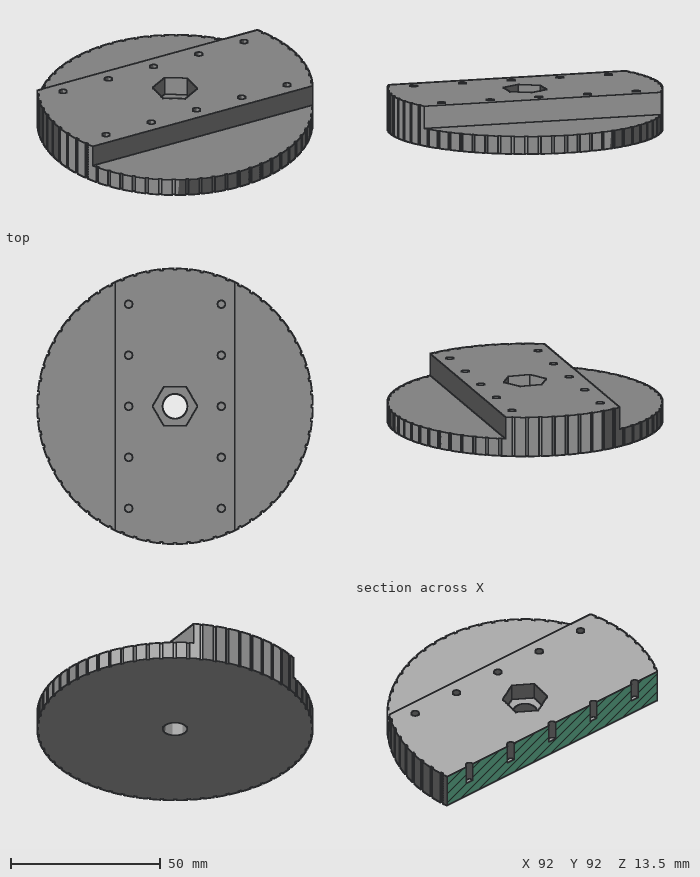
import cadquery as cq

disc_diameter = 92.0
disc_thickness = 6.0

total_height = 13.5
bar_height = total_height - disc_thickness
bar_width = 40.0

groove_count = 64
groove_width = 0.9
groove_depth = 0.5

bore_diameter = 8.2
nut_across_corners = 15.0
nut_pocket_depth = 6.5

screw_hole_diameter = 2.6
screw_hole_depth = bar_height
screw_row_spacing = 30.9
screw_pitch = 17.0
screws_per_row = 5


def make_body():
    disc = cq.Workplane("XY").circle(disc_diameter / 2).extrude(disc_thickness)
    full_cylinder = cq.Workplane("XY").circle(disc_diameter / 2).extrude(total_height)
    bar = cq.Workplane("XY").box(bar_width, disc_diameter, total_height, centered=(True, True, False))
    return disc.union(full_cylinder.intersect(bar))


def make_rim_grooves():
    return (
        cq.Workplane("XY")
        .polarArray(disc_diameter / 2, 0, 360, groove_count)
        .rect(2 * groove_depth, groove_width)
        .extrude(total_height)
    )


def cut_center_bore(body):
    top = cq.Workplane("XY", origin=(0, 0, total_height))
    nut_pocket = top.polygon(6, nut_across_corners).extrude(-nut_pocket_depth)
    bore = cq.Workplane("XY").circle(bore_diameter / 2).extrude(total_height)
    return body.cut(nut_pocket).cut(bore)


def cut_screw_holes(body):
    holes = (
        cq.Workplane("XY", origin=(0, 0, total_height))
        .rarray(screw_row_spacing, screw_pitch, 2, screws_per_row)
        .circle(screw_hole_diameter / 2)
        .extrude(-screw_hole_depth)
    )
    return body.cut(holes)


result = make_body().cut(make_rim_grooves())
result = cut_center_bore(result)
result = cut_screw_holes(result)